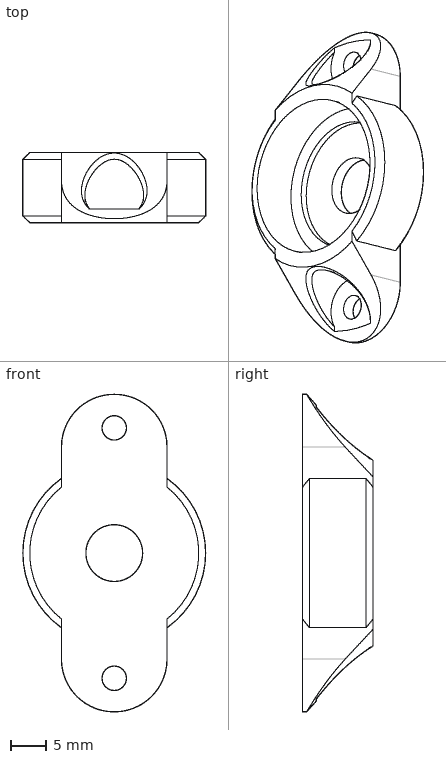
import cadquery as cq

length = 45.0
thickness = 10.0
disc_diameter = 25.9
disc_chamfer = 1.0
lug_width = 15.0

flare_tip_depth = 0.6
flare_middle_depth = 5.2
flare_middle_radius = 17.6
flare_back_radius = 13.15

shaft_diameter = 8.0
relief_diameter = 18.0
bearing_diameter = 22.0
shaft_hole_depth = 2.0
bearing_seat_depth = 3.0

screw_diameter = 3.4
screw_offset = 17.75
screw_head_diameter = 8.32
screw_floor_depth = 2.0
head_rim_chamfer = 0.5


def cylinder(diameter, start, end, z=0):
    """Cylinder along Y between two depths, centred on X = 0 at height z."""
    return (
        cq.Workplane("XZ", origin=(0, start, 0))
        .center(0, z)
        .circle(diameter / 2)
        .extrude(start - end)
    )


def head_rim(z):
    """Selector for the curved rim where the head pocket at height z breaks through the flare."""
    reach = 0.6 * screw_head_diameter
    return cq.selectors.BoxSelector(
        (-reach, screw_floor_depth - 0.05, z - reach),
        (reach, thickness, z + reach),
        boundingbox=True,
    )


def lugs():
    """Round-ended bar trimmed by the concave flare."""
    bar = cq.Workplane("XZ").slot2D(length, lug_width, 90).extrude(-thickness)
    flare = (
        cq.Workplane("XY")
        .lineTo(length / 2, 0)
        .lineTo(length / 2, flare_tip_depth)
        .threePointArc((flare_middle_radius, flare_middle_depth), (flare_back_radius, thickness))
        .lineTo(0, thickness)
        .close()
        .revolve(360, (0, 0, 0), (0, 1, 0))
    )
    return bar.intersect(flare)


disc = cylinder(disc_diameter, 0, thickness).faces("<Y or >Y").chamfer(disc_chamfer)
body = disc.union(lugs())

body = body.cut(cylinder(shaft_diameter, 0, thickness))
body = body.cut(cylinder(relief_diameter, shaft_hole_depth, thickness))
body = body.cut(cylinder(bearing_diameter, bearing_seat_depth, thickness))

for z in (-screw_offset, screw_offset):
    body = body.cut(cylinder(screw_diameter, 0, thickness, z))
    body = body.cut(cylinder(screw_head_diameter, screw_floor_depth, thickness, z))
    body = body.edges(head_rim(z)).edges("not (%CIRCLE or %LINE)").edges(">Y").chamfer(head_rim_chamfer)

result = body